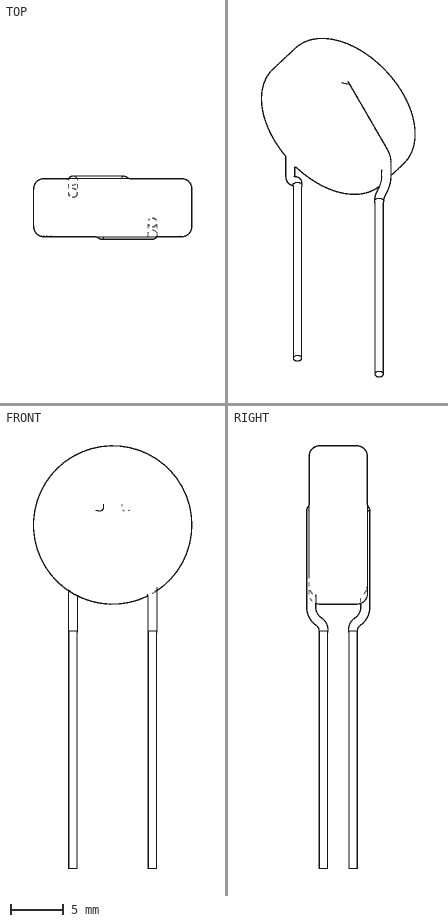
import cadquery as cq
import math

disc_diameter = 15.0
disc_thickness = 5.5
disc_edge_radius = 1.0

total_height = 40.0
total_depth = 6.0
lead_pitch = 7.5
bent_wire_diameter = 0.9
straight_wire_diameter = 0.8

elbow_z = -5.85
elbow_radius = 2.25
slant_angle = 36.4
wire_end_z = 1.65
wire_end_bevel = 36.0
joint_fillet = 0.15
contact_tolerance = 0.0005

bend_top_z = -7.75
bend_bottom_z = -9.9
upper_bend_radius = 1.7
straight_lead_y = -1.4
collar_height = 0.25
collar_taper_height = 0.1

lead_tip_z = disc_diameter / 2 - total_height
lead_x = lead_pitch / 2
face_wire_y = -(total_depth - bent_wire_diameter) / 2


def make_disc():
    disc = cq.Workplane("XZ", origin=(0, disc_thickness / 2, 0))
    disc = disc.circle(disc_diameter / 2).extrude(disc_thickness)
    return disc.edges().fillet(disc_edge_radius)


def sweep_bent_wire(path):
    """Sweep the thicker wire along a path that starts at the top of the S-bend."""
    profile = cq.Workplane("XY", origin=(lead_x, face_wire_y, bend_top_z))
    return profile.circle(bent_wire_diameter / 2).sweep(path)


def make_face_wire():
    """Upper wire in the plane of the face: straight, elbow, then slanted to its bevelled end."""
    angle = math.radians(slant_angle)

    def elbow_point(turn):
        return (
            lead_x - elbow_radius * (1 - math.cos(turn)),
            elbow_z + elbow_radius * math.sin(turn),
        )

    elbow_end_x, elbow_end_z = elbow_point(angle)
    wire_end_x = elbow_end_x - (wire_end_z - elbow_end_z) * math.tan(angle)
    stub_x = wire_end_x - bent_wire_diameter / 2 * math.sin(angle)
    stub_z = wire_end_z + bent_wire_diameter / 2 * math.cos(angle)
    path = (
        cq.Workplane("XZ", origin=(0, face_wire_y, 0))
        .moveTo(lead_x, bend_top_z)
        .lineTo(lead_x, elbow_z)
        .threePointArc(elbow_point(angle / 2), (elbow_end_x, elbow_end_z))
        .lineTo(stub_x, stub_z)
    )
    bevel = math.radians(wire_end_bevel)
    bevel_plane = cq.Plane(
        origin=(wire_end_x, -disc_thickness / 2, wire_end_z),
        xDir=(math.cos(angle), 0, math.sin(angle)),
        normal=(
            -math.sin(angle) * math.sin(bevel),
            -math.cos(bevel),
            math.cos(angle) * math.sin(bevel),
        ),
    )
    cutter_side = 2 * bent_wire_diameter
    cutter = cq.Workplane(bevel_plane).rect(cutter_side, cutter_side).extrude(cutter_side)
    return sweep_bent_wire(path).cut(cutter)


def make_s_bend():
    """Two tangent arcs of opposite turn, then the collar with its tapered lower rim."""
    drop = bend_top_z - bend_bottom_z
    shift = straight_lead_y - face_wire_y
    angle = 2 * math.atan(shift / drop)
    lower_bend_radius = drop / math.sin(angle) - upper_bend_radius

    def upper_point(turn):
        return (
            face_wire_y + upper_bend_radius * (1 - math.cos(turn)),
            bend_top_z - upper_bend_radius * math.sin(turn),
        )

    def lower_point(turn):
        return (
            straight_lead_y - lower_bend_radius * (1 - math.cos(turn)),
            bend_bottom_z + lower_bend_radius * math.sin(turn),
        )

    path = (
        cq.Workplane("YZ", origin=(lead_x, 0, 0))
        .moveTo(face_wire_y, bend_top_z)
        .threePointArc(upper_point(angle / 2), upper_point(angle))
        .threePointArc(lower_point(angle / 2), (straight_lead_y, bend_bottom_z))
        .lineTo(straight_lead_y, bend_bottom_z - collar_height)
    )
    bend = sweep_bent_wire(path)
    taper_width = (bent_wire_diameter - straight_wire_diameter) / 2
    return bend.faces("<Z").chamfer(collar_taper_height, taper_width)


def make_straight_lead():
    foot = cq.Workplane("XY", origin=(lead_x, straight_lead_y, lead_tip_z))
    return foot.circle(straight_wire_diameter / 2).extrude(bend_bottom_z - lead_tip_z)


def turn_to_back(shape):
    return shape.rotate((0, 0, 0), (0, 0, 1), 180)


def joint_edges(body, disc, wire):
    """Edges of the fused body that lie on both the disc and the wire."""
    touching = []
    for edge in body.edges().vals():
        middle = cq.Vertex.makeVertex(*edge.positionAt(0.5).toTuple())
        gap = max(disc.val().distance(middle), wire.val().distance(middle))
        if gap < contact_tolerance:
            touching.append(edge)
    return touching


disc = make_disc()
front_wire = make_face_wire()
back_wire = turn_to_back(front_wire)
body = disc.union(front_wire).union(back_wire)
joints = joint_edges(body, disc, front_wire) + joint_edges(body, disc, back_wire)
body = body.newObject(joints).fillet(joint_fillet)

front_lead = make_s_bend().union(make_straight_lead())
result = body.union(front_lead).union(turn_to_back(front_lead))